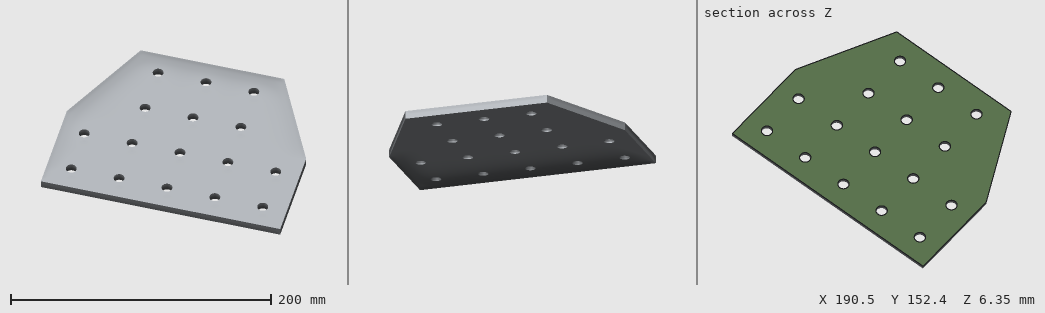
import cadquery as cq

pitch = 38.1
thickness = 6.35
hole_diameter = 8.33

holes_per_row = [5, 5, 3, 3]
wide_row_count = holes_per_row.count(max(holes_per_row))

wide_width = max(holes_per_row) * pitch
narrow_width = min(holes_per_row) * pitch
depth = len(holes_per_row) * pitch
shoulder_depth = wide_row_count * pitch

front_y = -depth / 2
back_y = depth / 2
shoulder_y = front_y + shoulder_depth


def make_plate():
    """Flat plate, rectangular at the front and tapering to the back edge."""
    outline = [
        (-wide_width / 2, front_y),
        (wide_width / 2, front_y),
        (wide_width / 2, shoulder_y),
        (narrow_width / 2, back_y),
        (-narrow_width / 2, back_y),
        (-wide_width / 2, shoulder_y),
    ]
    return cq.Workplane("XY").polyline(outline).close().extrude(thickness)


def hole_centers():
    """Cell centers of every row, each row centered on X = 0."""
    centers = []
    for row, count in enumerate(holes_per_row):
        y = front_y + (row + 0.5) * pitch
        for column in range(count):
            x = (column - (count - 1) / 2) * pitch
            centers.append((x, y))
    return centers


def drill_holes(plate):
    """Plain through holes at every cell center."""
    top_face = plate.faces(">Z").workplane(origin=(0, 0, 0))
    return top_face.pushPoints(hole_centers()).hole(hole_diameter)


result = drill_holes(make_plate())